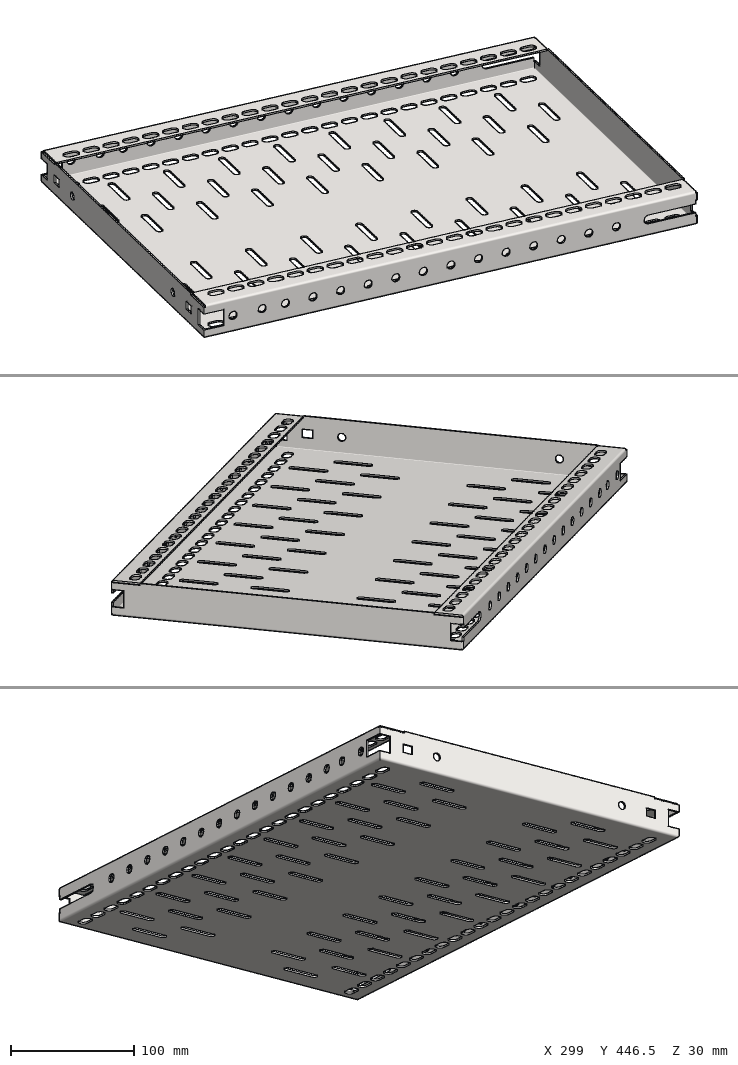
import cadquery as cq

WIDTH = 299.0
LENGTH = 446.5
HEIGHT = 30.0
SHEET = 1.5
INNER_BEND = 0.5
OUTER_BEND = INNER_BEND + SHEET
MID_HEIGHT = HEIGHT / 2

FLANGE_WIDTH = 24.5
OPENING_WIDTH = WIDTH - 2 * FLANGE_WIDTH
CHANNEL_LENGTH = LENGTH - 2 * SHEET

EDGE_SLOT_COUNT = 24
EDGE_SLOT_SPAN = 413.0
EDGE_SLOT_PITCH = EDGE_SLOT_SPAN / (EDGE_SLOT_COUNT - 1)
EDGE_SLOT_LENGTH = 14.0
EDGE_SLOT_WIDTH = 8.0
EDGE_SLOT_X = 133.0
EDGE_SLOT_SHIFT = 2.2

FLOOR_ROW_COUNT = 17
FLOOR_ROW_SPAN = 398.7
ROW_PITCH = FLOOR_ROW_SPAN / (FLOOR_ROW_COUNT - 1)
FLOOR_SLOT_LENGTH = 32.5
FLOOR_SLOT_WIDTH = 6.0
FLOOR_SLOT_X = 75.5
FLOOR_SLOT_STAGGER = 30.5

SIDE_HOLE_COUNT = 13
SIDE_HOLE_DIAMETER = 7.0
FRONT_SIDE_HOLES_Y = (-170.5, -197.0)
REAR_SLOT_WIDTH = 8.0
REAR_SLOT_LENGTH = 48.5

WINDOW_HEIGHT = 14.7
WINDOW_ALONG_X = 10.5
WINDOW_ALONG_Y = 18.5
FRONT_HOLE_X = 92.5
FRONT_HOLE_DIAMETER = 6.5
KEY_HOLE_HEIGHT = 7.0
KEY_HOLE_WIDTH = 9.0
KEY_HOLE_X = 121.5


def block(size_x, size_y, size_z, x=0, y=0, z=0):
    """Box centred on x and y, standing on z."""
    return cq.Workplane("XY").box(size_x, size_y, size_z, centered=(True, True, False)).translate((x, y, z))


def end_profile_block():
    """Solid tray envelope with both end bends rounded along the bottom."""
    return block(WIDTH, LENGTH, HEIGHT).edges("|X and <Z").fillet(OUTER_BEND)


def side_channels():
    """Floor, side walls and top flanges folded as a pair of channels, open at the ends."""
    outer = block(WIDTH, CHANNEL_LENGTH, HEIGHT).edges("|Y").fillet(OUTER_BEND)
    cavity = block(WIDTH - 2 * SHEET, LENGTH, HEIGHT - 2 * SHEET, z=SHEET).edges("|Y").fillet(INNER_BEND)
    opening = block(OPENING_WIDTH, LENGTH, HEIGHT, z=SHEET)
    return outer.cut(cavity).cut(opening).intersect(end_profile_block())


def end_walls():
    """Floor folded up at both ends, stepped down beneath the flanges, with rounded rear corners."""
    cavity = block(WIDTH, CHANNEL_LENGTH, HEIGHT, z=SHEET).edges("|X and <Z").fillet(INNER_BEND)
    side_envelope = block(WIDTH, LENGTH, HEIGHT).edges("(|Y and <Z) or (|Z and >Y)").fillet(OUTER_BEND)
    walls = end_profile_block().cut(cavity).intersect(side_envelope)
    for side in (-1, 1):
        step_x = side * (WIDTH - FLANGE_WIDTH) / 2
        walls = walls.cut(block(FLANGE_WIDTH, LENGTH, SHEET, x=step_x, z=HEIGHT - SHEET))
    return walls


def edge_slots():
    """Lengthwise slots through the flanges and the floor."""
    return (
        cq.Workplane("XY")
        .center(0, EDGE_SLOT_SHIFT)
        .rarray(2 * EDGE_SLOT_X, EDGE_SLOT_PITCH, 2, EDGE_SLOT_COUNT)
        .slot2D(EDGE_SLOT_LENGTH, EDGE_SLOT_WIDTH, 90)
        .extrude(HEIGHT)
    )


def floor_slots():
    """Rows with one slot per half alternate with rows of two slots per half."""
    centers = []
    for row in range(FLOOR_ROW_COUNT):
        y = row * ROW_PITCH - FLOOR_ROW_SPAN / 2
        offsets = (0,) if row % 2 == 0 else (-FLOOR_SLOT_STAGGER, FLOOR_SLOT_STAGGER)
        for offset in offsets:
            x = FLOOR_SLOT_X + offset
            centers += [(-x, y), (x, y)]
    return (
        cq.Workplane("XY")
        .pushPoints(centers)
        .slot2D(FLOOR_SLOT_LENGTH, FLOOR_SLOT_WIDTH)
        .extrude(SHEET)
    )


def side_openings():
    """Round holes and open-ended rear slots through both side walls."""
    half_span = (SIDE_HOLE_COUNT - 1) / 2
    hole_places = [(i - half_span) * ROW_PITCH for i in range(SIDE_HOLE_COUNT)]
    hole_places += FRONT_SIDE_HOLES_Y
    holes = (
        cq.Workplane("YZ")
        .pushPoints([(y, MID_HEIGHT) for y in hole_places])
        .circle(SIDE_HOLE_DIAMETER / 2)
        .extrude(WIDTH / 2, both=True)
    )
    rear_slots = (
        cq.Workplane("YZ")
        .center(LENGTH / 2, MID_HEIGHT)
        .slot2D(2 * REAR_SLOT_LENGTH, REAR_SLOT_WIDTH)
        .extrude(WIDTH / 2, both=True)
        .intersect(block(WIDTH, CHANNEL_LENGTH, HEIGHT))
    )
    return holes.union(rear_slots)


def corner_windows():
    """Windows wrapping the front corners, and matching ones across the rear wall."""
    base = MID_HEIGHT - WINDOW_HEIGHT / 2
    windows = cq.Workplane("XY")
    for side_x in (-1, 1):
        x = side_x * (WIDTH - WINDOW_ALONG_X) / 2
        for side_y, depth in ((-1, WINDOW_ALONG_Y), (1, OUTER_BEND)):
            y = side_y * (LENGTH - depth) / 2
            windows = windows.add(block(WINDOW_ALONG_X, depth, WINDOW_HEIGHT, x=x, y=y, z=base))
    return windows.combine()


def front_holes():
    """Round and rectangular holes through the front end wall."""
    plane = cq.Workplane("XZ", origin=(0, -LENGTH / 2 + SHEET, MID_HEIGHT))
    round_places = [(-FRONT_HOLE_X, 0), (FRONT_HOLE_X, 0)]
    key_places = [(-KEY_HOLE_X, 0), (KEY_HOLE_X, 0)]
    round_holes = plane.pushPoints(round_places).circle(FRONT_HOLE_DIAMETER / 2).extrude(SHEET)
    key_holes = plane.pushPoints(key_places).rect(KEY_HOLE_WIDTH, KEY_HOLE_HEIGHT).extrude(SHEET)
    return round_holes.union(key_holes)


tray = side_channels().union(end_walls())
for openings in (edge_slots(), floor_slots(), side_openings(), corner_windows(), front_holes()):
    tray = tray.cut(openings)
result = tray